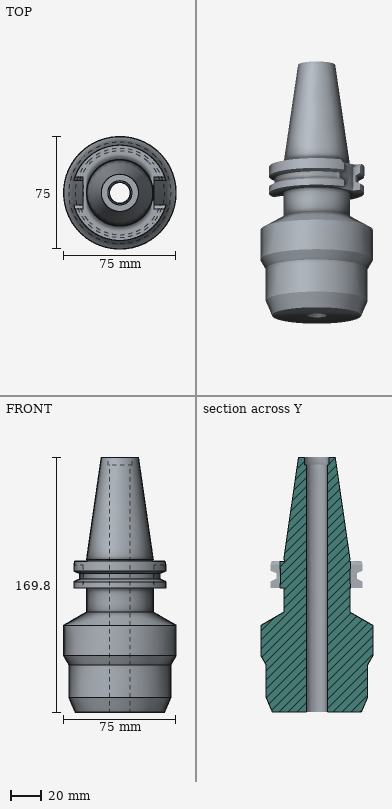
import cadquery as cq

total_length = 169.8

nose_end_radius = 29.7
nose_radius = 34.0
nose_chamfer_top = 9.9
nose_top = 31.6
body_radius = 37.5
body_bottom = 37.9
body_top = 58.0

neck_radius = 22.3
neck_top_radius = 21.9
shoulder_top = 66.8
flange_radius = 31.8
flange_bottom = 82.7
flange_top = 100.7
groove_radius = 28.0
groove_lower_edge = 87.0
groove_floor_bottom = 88.8
groove_floor_top = 92.5
groove_upper_edge = 94.1

taper_bottom = 101.7
taper_base_radius = 22.3
taper_tip_radius = 12.4

bore_diameter = 13.8
counterbore_diameter = 16.1
counterbore_depth = 5.1

slot_width = 16.3
shallow_slot_floor_offset = 24.6
deep_slot_floor_offset = 22.6
slot_chamfer = 2.5
dimple_diameter = 9.9
dimple_height = 90.7
dimple_depth = 0.3


def turned_body():
    """Revolve the outer half-profile about the Z axis."""
    profile = [
        (0, 0),
        (nose_end_radius, 0),
        (nose_radius, nose_chamfer_top),
        (nose_radius, nose_top),
        (body_radius, body_bottom),
        (body_radius, body_top),
        (neck_radius, shoulder_top),
        (neck_radius, flange_bottom),
        (flange_radius, flange_bottom),
        (flange_radius, groove_lower_edge),
        (groove_radius, groove_floor_bottom),
        (groove_radius, groove_floor_top),
        (flange_radius, groove_upper_edge),
        (flange_radius, flange_top),
        (neck_top_radius, flange_top),
        (neck_top_radius, taper_bottom),
        (taper_base_radius, taper_bottom),
        (taper_tip_radius, total_length),
        (0, total_length),
    ]
    return cq.Workplane("XZ").polyline(profile).close().revolve(360, (0, 0), (0, 1))


def drive_slot(floor_offset):
    """Cutter for a +X slot: a channel with a flared top and a round recess in its floor."""
    half_width = slot_width / 2
    mouth_half_width = half_width + slot_chamfer
    section = [
        (-half_width, flange_bottom),
        (half_width, flange_bottom),
        (half_width, flange_top - slot_chamfer),
        (mouth_half_width, flange_top),
        (-mouth_half_width, flange_top),
        (-half_width, flange_top - slot_chamfer),
    ]
    floor_plane = cq.Workplane("YZ", origin=(floor_offset, 0, 0))
    channel = floor_plane.polyline(section).close().extrude(flange_radius - floor_offset)
    dimple = floor_plane.center(0, dimple_height).circle(dimple_diameter / 2).extrude(-dimple_depth)
    return channel.union(dimple)


def axial_bore():
    """Cutter for the through bore and the counterbore at the taper tip."""
    bore = cq.Workplane("XY").circle(bore_diameter / 2).extrude(total_length)
    counterbore = (
        cq.Workplane("XY", origin=(0, 0, total_length))
        .circle(counterbore_diameter / 2)
        .extrude(-counterbore_depth)
    )
    return bore.union(counterbore)


result = turned_body().cut(axial_bore())
result = result.cut(drive_slot(deep_slot_floor_offset))
result = result.cut(drive_slot(shallow_slot_floor_offset).rotate((0, 0, 0), (0, 0, 1), 180))